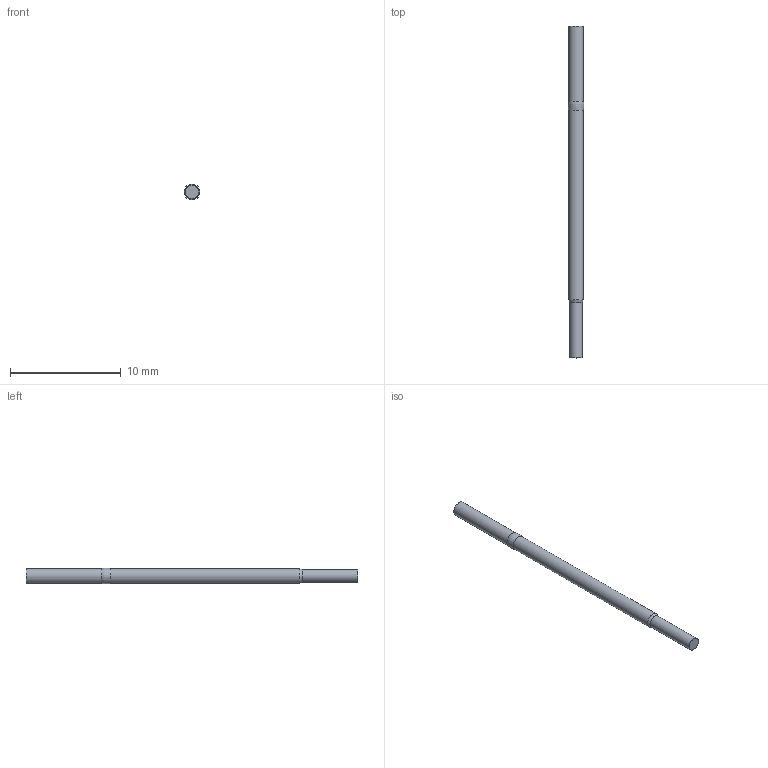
import cadquery as cq

total_length = 30.0
body_diameter = 1.35
bead_diameter = 1.45
tip_diameter = 1.17
tip_length = 5.0
taper_length = 0.25
bead_width = 0.8
bead_to_head_end = 7.2

body_radius = body_diameter / 2
bead_radius = bead_diameter / 2
tip_radius = tip_diameter / 2

tip_end = -total_length / 2
head_end = total_length / 2
taper_start = tip_end + tip_length
taper_end = taper_start + taper_length
bead_center = head_end - bead_to_head_end
bead_start = bead_center - bead_width / 2
bead_end = bead_center + bead_width / 2


def make_pin():
    """Revolve the half profile (radius along Z) about the Y axis."""
    half_profile = (
        cq.Workplane("YZ")
        .moveTo(tip_end, 0)
        .lineTo(tip_end, tip_radius)
        .lineTo(taper_start, tip_radius)
        .lineTo(taper_end, body_radius)
        .lineTo(bead_start, body_radius)
        .threePointArc((bead_center, bead_radius), (bead_end, body_radius))
        .lineTo(head_end, body_radius)
        .lineTo(head_end, 0)
        .close()
    )
    return half_profile.revolve(360, (0, 0, 0), (1, 0, 0))


result = make_pin()